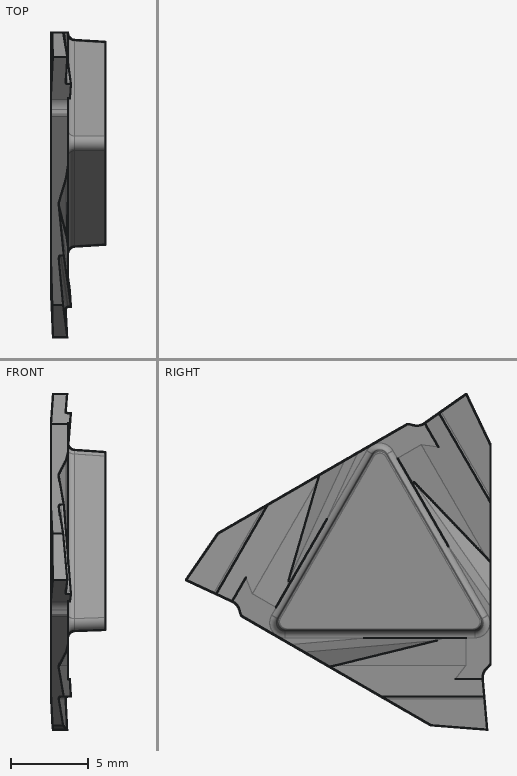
import cadquery as cq
import math

CORNER_PITCH = 120
CORNER_TURNS = (0, -CORNER_PITCH, -2 * CORNER_PITCH)

plate_thickness = 1.1
total_height = 3.5
inradius = 7.1

tip = (6.9, -10.38)
flank_y = 3.27
notch_z = -6.1
notch_lip_radius = 0.22
notch_turn = 45
notch_flat = 0.2
notch_radius = 0.86

relief_inner = (6.59, -7.13)
relief_outer = (0.0, -8.2)
relief_angle = 2.3

floor_tilt = 4.0
floor_bend_distance = 6.25
floor_bend_height = 0.7
step_distance = 8.25
step_top = 0.82
seat_height = 0.47
seat_slope = 2.5
seat_fillet = 0.15
ridge_distance = 7.13

rim_start = (-5.3, -5.15)
rim_turn = 5.0
inner_slope = 24.0
rim_bevel_depth = 0.13
rim_bevel_slope = 13.0

boss_inradius = 4.07
boss_corner_radius = 0.54
boss_taper = 2.0
boss_root_fillet = 0.43
boss_end_fillet = 0.09

reach = 12.92
relief_clearance = 0.22
ridge_stock = 1.72


def turned(point, angle):
    """Turn a (y, z) point about the X axis."""
    c = math.cos(math.radians(angle))
    s = math.sin(math.radians(angle))
    return (point[0] * c - point[1] * s, point[0] * s + point[1] * c)


def on_each_corner(shape):
    """The corner shape and its two turned copies."""
    return [shape.rotate((0, 0, 0), (1, 0, 0), turn) for turn in CORNER_TURNS]


def make_outline(thickness):
    """Plate outline: at each corner a long edge, notch, tip and flank."""
    sin_full = math.sin(math.radians(notch_turn))
    sin_half = math.sin(math.radians(notch_turn / 2))
    cos_half = math.cos(math.radians(notch_turn / 2))
    edge_end = (inradius, notch_z)
    lip_mid = (inradius - notch_lip_radius * (1 - cos_half), notch_z - notch_lip_radius * sin_half)
    lip_end = (inradius - notch_lip_radius * (1 - sin_full), notch_z - notch_lip_radius * sin_full)
    flat_end = (lip_end[0] - notch_flat, lip_end[1] - notch_flat)
    notch_end = (flat_end[0] - notch_radius * (1 - sin_full), flat_end[1] - notch_radius * sin_full)
    notch_mid = (notch_end[0] + notch_radius * (1 - cos_half), notch_end[1] + notch_radius * sin_half)
    flank_end = (flank_y, -(inradius + flank_y / 2) / math.cos(math.radians(30)))

    outline = cq.Workplane("YZ").moveTo(*edge_end)
    for turn in CORNER_TURNS:
        outline = (
            outline.threePointArc(turned(lip_mid, turn), turned(lip_end, turn))
            .lineTo(*turned(flat_end, turn))
            .threePointArc(turned(notch_mid, turn), turned(notch_end, turn))
            .lineTo(*turned(tip, turn))
            .lineTo(*turned(flank_end, turn))
        )
        if turn != CORNER_TURNS[-1]:
            outline = outline.lineTo(*turned(edge_end, turn - CORNER_PITCH))
    return outline.close().extrude(thickness)


def make_floor_cutter():
    """Everything above the groove floor and the seat of the corner nearest -Z."""
    seat_end = seat_height + (reach - step_distance) * math.tan(math.radians(seat_slope))
    profile = (
        cq.Workplane("XZ")
        .moveTo(reach, 0)
        .lineTo(floor_bend_height, 0)
        .lineTo(floor_bend_height, -floor_bend_distance)
        .lineTo(step_top, -step_distance)
        .lineTo(seat_height, -step_distance)
        .lineTo(seat_end, -reach)
        .lineTo(reach, -reach)
        .close()
    )
    cutter = profile.extrude(reach, both=True)
    seat_corner = cq.selectors.NearestToPointSelector((seat_height, 0, -step_distance))
    cutter = cutter.edges("|Y").edges(seat_corner).fillet(seat_fillet)
    return cutter.rotate((0, 0, 0), (0, 0, 1), -floor_tilt)


def make_rim_cutter():
    """Everything outside the bevelled rim and the inner side of the groove."""
    slope = math.tan(math.radians(inner_slope))
    bevel_foot = -rim_bevel_depth / slope
    bevel_top = bevel_foot + rim_bevel_depth / math.tan(math.radians(rim_bevel_slope))
    profile = (
        cq.Workplane("XZ")
        .moveTo(0, bevel_top)
        .lineTo(-rim_bevel_depth, bevel_foot)
        .lineTo(-reach * slope, -reach)
        .lineTo(reach, -reach)
        .lineTo(reach, bevel_top)
        .close()
    )
    cutter = profile.extrude(2 * reach, both=True)
    cutter = cutter.rotate((0, 0, 0), (1, 0, 0), rim_turn)
    return cutter.translate((plate_thickness, *rim_start))


def make_relief_cutter():
    """Thin wedge under the back face, hinged on the relief line."""
    run = (relief_outer[0] - relief_inner[0], relief_outer[1] - relief_inner[1])
    length = math.hypot(*run)
    along = (0, run[0] / length, run[1] / length)
    outward = (0, -along[2], along[1])
    rise = reach * math.tan(math.radians(relief_angle))
    wedge_plane = cq.Plane((0, *relief_inner), xDir=outward, normal=along)
    return (
        cq.Workplane(wedge_plane)
        .polyline([(0, 0), (reach, rise), (reach, -relief_clearance), (0, -relief_clearance)])
        .close()
        .extrude(reach, both=True)
    )


def make_plate():
    """Flat plate with the chip grooves, corner ridges, seats and back reliefs."""
    floor_cutter = make_floor_cutter()
    seat_zone = (
        cq.Workplane("XY")
        .box(reach, 2 * reach, reach - ridge_distance, centered=(False, True, False))
        .translate((0, 0, -reach))
    )
    groove_cutter = floor_cutter.intersect(make_rim_cutter().union(seat_zone))
    ridge = make_outline(ridge_stock).intersect(seat_zone).cut(floor_cutter)

    plate = make_outline(plate_thickness)
    for cutter in on_each_corner(groove_cutter):
        plate = plate.cut(cutter)
    for corner in on_each_corner(ridge):
        plate = plate.union(corner)
    for wedge in on_each_corner(make_relief_cutter()):
        plate = plate.cut(wedge)
    return plate


def make_triangle(triangle_inradius, start, height, taper=0):
    """Prism on an upright triangle with the given inradius."""
    corner = (math.sqrt(3) * triangle_inradius, -triangle_inradius)
    return (
        cq.Workplane("YZ", origin=(start, 0, 0))
        .polyline([turned(corner, turn) for turn in CORNER_TURNS])
        .close()
        .extrude(height, taper=taper)
    )


def make_boss():
    """Tapered boss with its root flare, standing on a core through the plate."""
    boss = make_triangle(boss_inradius, plate_thickness, total_height - plate_thickness, boss_taper)
    boss = boss.edges("not #X").fillet(boss_corner_radius)
    boss = boss.faces(">X").edges().fillet(boss_end_fillet)
    boss_root = cq.selectors.NearestToPointSelector((plate_thickness, 0, -boss_inradius))
    boss = make_outline(plate_thickness).union(boss).edges(boss_root).fillet(boss_root_fillet)
    flare = make_triangle(boss_inradius + boss_root_fillet, 0, total_height)
    flare = flare.edges("|X").fillet(boss_corner_radius + boss_root_fillet)
    return boss.intersect(flare)


result = make_plate().union(make_boss())